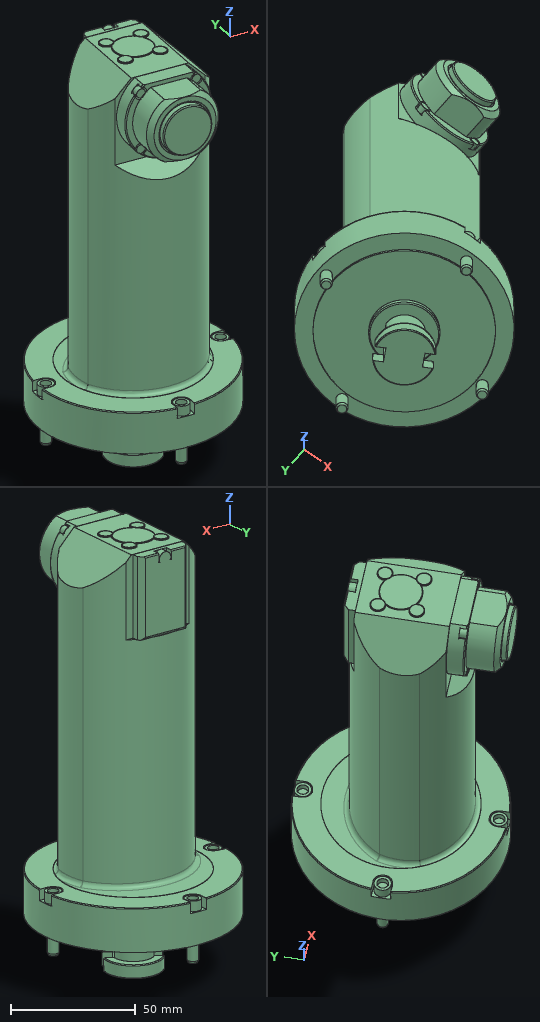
import cadquery as cq
import math


total_height = 186.07
tail_depth = 23.5
pad_top_z = total_height - tail_depth
connector_front_y = -45.485

flange_diameter = 88.11
flange_thickness = 19.05
flange_edge_chamfer = 0.4
pilot_diameter = 73.15
pilot_height = 1.1
foot_diameter = 64.29
foot_height = 0.1

flange_screw_count = 4
flange_screw_radius = 40.0
counterbore_diameter = 7.92
counterbore_depth = 4.76
screw_head_diameter = 7.0
screw_head_recess = 0.2
screw_socket_diameter = 4.65
screw_socket_depth = 2.5
screw_shank_diameter = 4.83
screw_tip_depth = 8.6
screw_tip_chamfer_length = 1.1
screw_tip_chamfer_width = 0.5

boss_diameter = 28.57
boss_depth = 3.5
boss_chamfer = 0.5
shaft_diameter = 17.5
drive_disc_diameter = 25.4
drive_disc_thickness = 6.0
drive_disc_chamfer = 0.4
drive_slot_width = 6.35
drive_flat_distance = 7.92
drive_slot_angles = (150, 330)

body_center_y = -4.65
body_half_width = 29.03
body_half_depth = 25.25
body_seam_offset = 8.2
body_base_fillet = 2.15

head_top_z = pad_top_z - 0.57
head_top_half_width = 13.1
head_bottom_z = 126.0
mounted_part_step = 0.1
mounted_top_z = head_top_z - mounted_part_step
front_flat_y = -22.2
front_flat_bottom_z = 124.2

plate_half_width = 12.2
plate_inner_y = 16.3
plate_outer_y = 21.4
plate_corner_chamfer = 2.3
plate_bottom_chamfer = 1.3
plate_top_chamfer = 0.5
latch_slot_width = 6.2
latch_slot_depth = 4.0
latch_slot_inner_y = 18.1
latch_pin_diameter = 5.74

cover_diameter = 17.6
cover_height = 0.4
cover_chamfer = 0.25
cover_screw_diameter = 6.35
cover_screw_top_diameter = 5.74
cover_screw_offset = 7.94

connector_axis_z = 145.7
connector_flange_diameter = 39.7
connector_flange_chamfer = 0.5
connector_flange_front_y = -29.5
barrel_diameter = 33.0
barrel_flat_width = 28.57
barrel_front_y = -43.1
barrel_chamfer_length = 2.3
barrel_front_diameter = 28.57
mouth_diameter = 23.84
mouth_depth = 0.6
plug_diameter = 22.37
plug_chamfer = 0.5
connector_screw_offset = 12.7
connector_bore_diameter = 5.4
connector_bore_depth = 3.1
connector_head_diameter = 4.0


def cylinder_z(diameter, bottom_z, top_z, x=0, y=0):
    """Upright cylinder between two heights."""
    base = cq.Workplane("XY", origin=(x, y, bottom_z))
    return base.circle(diameter / 2).extrude(top_z - bottom_z)


def cylinder_y(diameter, front_y, back_y, x=0, z=connector_axis_z):
    """Cylinder along Y between its front (lower y) and back ends."""
    base = cq.Workplane("XZ", origin=(x, back_y, z))
    return base.circle(diameter / 2).extrude(back_y - front_y)


def box_between(low, high):
    """Axis-aligned box from its low corner to its high corner."""
    size = [b - a for a, b in zip(low, high)]
    return cq.Workplane("XY").box(*size, centered=False).translate(low)


def make_flange():
    flange = cylinder_z(flange_diameter, 0, flange_thickness)
    flange = flange.faces(">Z").edges().chamfer(flange_edge_chamfer)
    pilot = cylinder_z(pilot_diameter, -pilot_height, 0)
    return flange.union(pilot)


def make_flange_screw_pocket():
    """Counterbore open to the flange rim, for the screw on the +X axis."""
    floor_z = flange_thickness - counterbore_depth
    half_width = counterbore_diameter / 2
    bore = cylinder_z(counterbore_diameter, floor_z, flange_thickness, x=flange_screw_radius)
    opening = box_between(
        (flange_screw_radius, -half_width, floor_z),
        (flange_diameter, half_width, flange_thickness),
    )
    return bore.union(opening)


def make_flange_screw():
    """Socket head screw on the +X axis, its tip standing out below the flange."""
    floor_z = flange_thickness - counterbore_depth
    head_top = flange_thickness - screw_head_recess
    head = cylinder_z(screw_head_diameter, floor_z, head_top, x=flange_screw_radius)
    socket_floor_z = head_top - screw_socket_depth
    socket = cylinder_z(screw_socket_diameter, socket_floor_z, head_top, x=flange_screw_radius)
    shank = cylinder_z(screw_shank_diameter, -screw_tip_depth, floor_z, x=flange_screw_radius)
    shank = shank.faces("<Z").chamfer(screw_tip_chamfer_length, screw_tip_chamfer_width)
    return head.cut(socket).union(shank)


def add_flange_screws(part):
    for index in range(flange_screw_count):
        angle = index * 360 / flange_screw_count
        turn = ((0, 0, 0), (0, 0, 1), angle)
        part = part.cut(make_flange_screw_pocket().rotate(*turn))
        part = part.union(make_flange_screw().rotate(*turn))
    return part


def make_drive_shaft():
    """Boss, shaft and slotted drive disc below the flange."""
    disc_top_z = drive_disc_thickness - tail_depth
    shaft = cylinder_z(shaft_diameter, disc_top_z, 0)
    disc = cylinder_z(drive_disc_diameter, -tail_depth, disc_top_z)
    disc = disc.faces("<Z or >Z").edges().chamfer(drive_disc_chamfer)
    half_slot = drive_slot_width / 2
    for angle in drive_slot_angles:
        turn = ((0, 0, 0), (0, 0, 1), angle)
        slot = box_between(
            (drive_flat_distance, -half_slot, -tail_depth),
            (drive_disc_diameter, half_slot, disc_top_z),
        )
        flat = box_between(
            (drive_flat_distance, -shaft_diameter, disc_top_z),
            (shaft_diameter, shaft_diameter, 0),
        )
        disc = disc.cut(slot.rotate(*turn))
        shaft = shaft.cut(flat.rotate(*turn))
    boss = cylinder_z(boss_diameter, -boss_depth, 0)
    boss = boss.faces("<Z").chamfer(boss_chamfer)
    return boss.union(shaft).union(disc)


def make_column():
    """Oval column: two round sides joined by flatter front and back arcs."""
    seam_x = math.sqrt(body_half_width**2 - body_seam_offset**2)
    base_z = flange_thickness + foot_height
    outline = (
        cq.Workplane("XY", origin=(0, body_center_y, base_z))
        .moveTo(seam_x, -body_seam_offset)
        .threePointArc((body_half_width, 0), (seam_x, body_seam_offset))
        .threePointArc((0, body_half_depth), (-seam_x, body_seam_offset))
        .threePointArc((-body_half_width, 0), (-seam_x, -body_seam_offset))
        .threePointArc((0, -body_half_depth), (seam_x, -body_seam_offset))
        .close()
    )
    return outline.extrude(head_top_z - base_z)


def make_footed_column():
    """Column rounded into its round foot, the fillet trimmed at the foot edge."""
    foot_top_z = flange_thickness + foot_height
    footing = box_between(
        (-foot_diameter, -foot_diameter, flange_thickness),
        (foot_diameter, foot_diameter, foot_top_z),
    )
    column = make_column()
    foot_seam = cq.selectors.BoxSelector(
        (-foot_diameter / 2, -foot_diameter / 2, flange_thickness + foot_height / 2),
        (foot_diameter / 2, foot_diameter / 2, foot_top_z + foot_height / 2),
        boundingbox=True,
    )
    column = footing.union(column).edges(foot_seam).fillet(body_base_fillet)
    return column.intersect(cylinder_z(foot_diameter, flange_thickness, head_top_z))


def cut_head_slopes(part):
    """45 degree slopes on both sides of the narrow top face."""
    drop = body_half_width
    cut_length = 3 * body_half_width
    for side in (-1, 1):
        wedge = (
            cq.Workplane("XZ", origin=(0, body_half_width, 0))
            .moveTo(side * head_top_half_width, head_top_z)
            .lineTo(side * (head_top_half_width + drop), head_top_z)
            .lineTo(side * (head_top_half_width + drop), head_top_z - drop)
            .close()
            .extrude(cut_length)
        )
        part = part.cut(wedge)
    return part


def cut_front_flat(part):
    """Flat seat for the connector, with a 45 degree run-out below it."""
    reach = body_half_width
    cutter = (
        cq.Workplane("YZ", origin=(-reach, 0, 0))
        .moveTo(front_flat_y, head_top_z)
        .lineTo(front_flat_y, front_flat_bottom_z)
        .lineTo(front_flat_y - reach, front_flat_bottom_z - reach)
        .lineTo(front_flat_y - reach, head_top_z)
        .close()
        .extrude(2 * reach)
    )
    return part.cut(cutter)


def cut_back_flat(part):
    """Flat seat for the back plate."""
    cutter = box_between(
        (-body_half_width, plate_inner_y, head_bottom_z),
        (body_half_width, body_half_width, head_top_z),
    )
    return part.cut(cutter)


def make_back_plate():
    """Chamfered plate with a latch pin lying in a slot of its top edge."""
    plate = box_between(
        (-plate_half_width, plate_inner_y, head_bottom_z),
        (plate_half_width, plate_outer_y, mounted_top_z),
    )
    plate = plate.edges("|Z and >Y").chamfer(plate_corner_chamfer)
    plate = plate.faces("<Z").edges(">Y").chamfer(plate_bottom_chamfer)
    plate = plate.faces(">Z").edges(">Y").chamfer(plate_top_chamfer)
    half_slot = latch_slot_width / 2
    slot_floor_z = mounted_top_z - latch_slot_depth
    slot = box_between(
        (-half_slot, latch_slot_inner_y, slot_floor_z),
        (half_slot, plate_outer_y, mounted_top_z),
    )
    pin_axis_z = mounted_top_z - latch_pin_diameter / 2
    pin = cylinder_y(latch_pin_diameter, latch_slot_inner_y, plate_outer_y, z=pin_axis_z)
    return plate.cut(slot).union(pin)


def make_top_cover():
    """Low round cover with four screw heads around it."""
    cover = cylinder_z(cover_diameter, head_top_z, head_top_z + cover_height)
    cover = cover.faces(">Z").chamfer(cover_chamfer)
    screw_chamfer = (cover_screw_diameter - cover_screw_top_diameter) / 2
    for x in (-cover_screw_offset, cover_screw_offset):
        for y in (-cover_screw_offset, cover_screw_offset):
            screw = cylinder_z(cover_screw_diameter, head_top_z, pad_top_z, x=x, y=y)
            cover = cover.union(screw.faces(">Z").chamfer(screw_chamfer))
    return cover


def make_connector_flange():
    """Round connector flange trimmed just below the head top, with four corner screws."""
    front_y = connector_flange_front_y
    flange = cylinder_y(connector_flange_diameter, front_y, front_flat_y)
    flange = flange.faces("<Y").chamfer(connector_flange_chamfer)
    above_head = box_between(
        (-connector_flange_diameter, front_y, mounted_top_z),
        (connector_flange_diameter, front_flat_y, total_height),
    )
    flange = flange.cut(above_head)
    floor_y = front_y + connector_bore_depth
    for x in (-connector_screw_offset, connector_screw_offset):
        for z_offset in (-connector_screw_offset, connector_screw_offset):
            z = connector_axis_z + z_offset
            flange = flange.cut(cylinder_y(connector_bore_diameter, front_y, floor_y, x, z))
            flange = flange.union(cylinder_y(connector_head_diameter, front_y, floor_y, x, z))
    return flange


def make_connector_barrel():
    """Barrel with two wrench flats, a chamfered front and a plug in its mouth."""
    barrel = cylinder_y(barrel_diameter, barrel_front_y, connector_flange_front_y)
    chamfer_width = (barrel_diameter - barrel_front_diameter) / 2
    barrel = barrel.faces("<Y").chamfer(chamfer_width, barrel_chamfer_length)
    between_flats = box_between(
        (-barrel_diameter, barrel_front_y, connector_axis_z - barrel_flat_width / 2),
        (barrel_diameter, connector_flange_front_y, connector_axis_z + barrel_flat_width / 2),
    )
    barrel = barrel.intersect(between_flats)
    mouth_floor_y = barrel_front_y + mouth_depth
    barrel = barrel.cut(cylinder_y(mouth_diameter, barrel_front_y, mouth_floor_y))
    plug = cylinder_y(plug_diameter, connector_front_y, mouth_floor_y)
    plug = plug.faces("<Y").chamfer(plug_chamfer)
    return barrel.union(plug)


part = make_flange().union(make_footed_column())
part = cut_head_slopes(part)
part = cut_front_flat(part)
part = cut_back_flat(part)
part = part.union(make_back_plate())
part = part.union(make_top_cover())
part = part.union(make_connector_flange())
part = part.union(make_connector_barrel())
part = part.union(make_drive_shaft())
result = add_flange_screws(part)